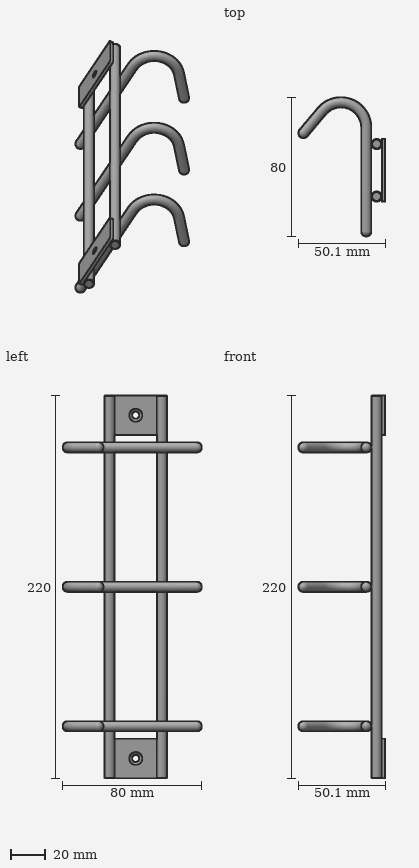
import cadquery as cq
import math


rod_diameter = 6.0
rod_radius = rod_diameter / 2
rail_length = 220.0
rail_spacing = 30.1
rail_end_chamfer = 0.5
frame_front = 20.0

plate_thickness = 2.0
plate_height = 22.9
plate_width = rail_spacing + rod_diameter
plate_corner_radius = 1.0
screw_hole_diameter = 4.0
countersink_diameter = 7.5
countersink_angle = 90.0

hook_spacing = 80.0
hook_count = 3
hook_depth = 80.0
bend_radius = 14.5
bend_sweep = 140.0
tip_length = 16.3

rail_x = -plate_thickness - rod_radius
hook_x = rail_x - rod_diameter
frame_y = frame_front + plate_width / 2
plate_z = (rail_length - plate_height) / 2
shank_start_y = rod_radius
bend_start_y = hook_depth - rod_radius - bend_radius


def make_rail(y):
    """Vertical round rail with chamfered ends, centred at the given Y."""
    return (
        cq.Workplane("XY", origin=(rail_x, y, -rail_length / 2))
        .circle(rod_radius)
        .extrude(rail_length)
        .faces("<Z or >Z")
        .edges()
        .chamfer(rail_end_chamfer)
    )


def make_plate(z):
    """Mounting plate behind the rails, with a hole countersunk on the rail side."""
    return (
        cq.Workplane("XY")
        .box(plate_thickness, plate_width, plate_height)
        .edges("|X")
        .fillet(plate_corner_radius)
        .faces("<X")
        .workplane()
        .cskHole(screw_hole_diameter, countersink_diameter, countersink_angle)
        .translate((-plate_thickness / 2, frame_y, z))
    )


def arc_point(sweep):
    """Point on the bend's centre line after turning through sweep degrees."""
    angle = math.radians(sweep)
    x = hook_x - bend_radius + bend_radius * math.cos(angle)
    return (x, bend_start_y + bend_radius * math.sin(angle))


def make_hook(z):
    """Round rod with a straight shank, a bend, a straight tip and domed ends."""
    bend_end = arc_point(bend_sweep)
    tip_angle = math.radians(bend_sweep)
    tip_end = (
        bend_end[0] - tip_length * math.sin(tip_angle),
        bend_end[1] + tip_length * math.cos(tip_angle),
    )
    path = (
        cq.Workplane("XY", origin=(0, 0, z))
        .moveTo(hook_x, shank_start_y)
        .lineTo(hook_x, bend_start_y)
        .threePointArc(arc_point(bend_sweep / 2), bend_end)
        .lineTo(*tip_end)
    )
    rod = (
        cq.Workplane("XZ", origin=(hook_x, shank_start_y, z))
        .circle(rod_radius)
        .sweep(path)
    )
    for x, y in ((hook_x, shank_start_y), tip_end):
        dome = cq.Workplane("XY", origin=(x, y, z)).sphere(rod_radius)
        rod = rod.union(dome)
    return rod


rails = [make_rail(frame_y + side * rail_spacing / 2) for side in (-1, 1)]
plates = [make_plate(side * plate_z) for side in (-1, 1)]
hooks = [make_hook((i - (hook_count - 1) / 2) * hook_spacing) for i in range(hook_count)]

result = cq.Compound.makeCompound([body.val() for body in rails + plates + hooks])